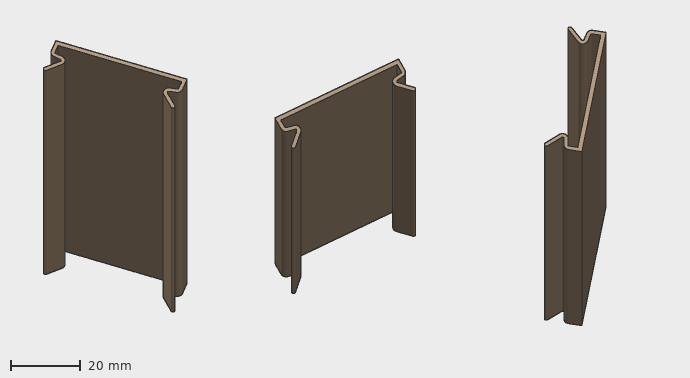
import cadquery as cq
import math

width = 40.0
depth = 11.0
length = 100.0

plate_thickness = 1.4
clip_thickness = 1.2
bend_radius = 1.0
shelf_depth = 4.6
shelf_angle = 10.0
leg_angle = 45.0

half_thickness = clip_thickness / 2
shelf_slope = math.tan(math.radians(shelf_angle))
leg_slope = math.tan(math.radians(leg_angle))


def make_plate():
    """Flat cover plate, with its outer face at Y = depth / 2."""
    plate = cq.Workplane("XY").box(width, plate_thickness, length)
    return plate.translate((0, (depth - plate_thickness) / 2, 0))


def make_clip():
    """Left clip: side wall, sloping shelf and flared leg with a round tip."""

    def point(inset, drop):
        """Point at an inset from the left side and a drop below the plate face."""
        return cq.Vector(inset - width / 2, depth / 2 - drop, -length / 2)

    tip_inset = half_thickness
    tip_drop = depth - half_thickness
    nose_inset = (tip_drop + leg_slope * tip_inset - shelf_depth) / (shelf_slope + leg_slope)
    nose_drop = shelf_depth + shelf_slope * nose_inset

    centerline = cq.Wire.makePolygon([
        point(half_thickness, plate_thickness / 2),
        point(half_thickness, shelf_depth + shelf_slope * half_thickness),
        point(nose_inset, nose_drop),
        point(tip_inset, tip_drop),
    ])
    centerline = centerline.fillet(bend_radius)
    outline = centerline.offset2D(half_thickness, "arc")[0]
    return cq.Workplane("XY").add(outline).toPending().extrude(length)


left_clip = make_clip()
right_clip = left_clip.mirror("YZ")
result = make_plate().union(left_clip).union(right_clip)